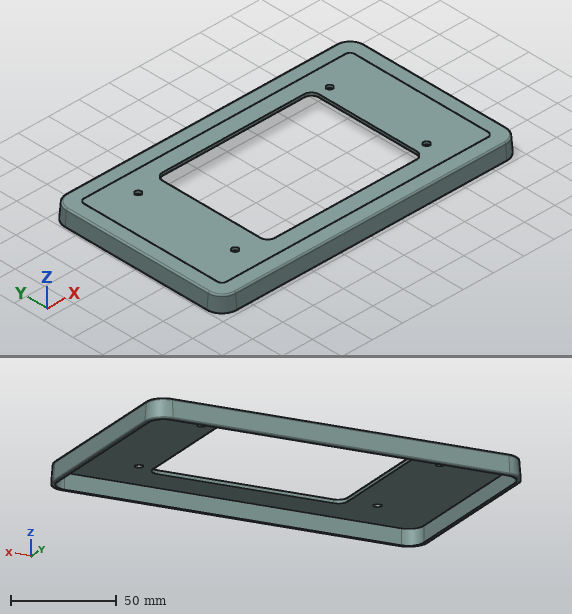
import cadquery as cq

length = 198.0
width = 116.0
height = 10.5
corner_radius = 9.9

lip_height = 0.8
foot_fillet = 0.4
draft_angle = 4.5
top_fillet = 1.0

plate_thickness = 2.0
wall_thickness = plate_thickness

recess_length = 178.5
recess_width = 96.6
recess_radius = 3.0
recess_depth = 0.1

window_length = 103.1
window_width = 76.0
window_radius = 5.0
window_center_x = 2.4

hole_diameter = 4.0
hole_spacing_x = 126.3
hole_spacing_y = 65.7
hole_center_x = -1.4
hole_center_y = 1.0


def rounded_plate(size_x, size_y, radius, bottom, depth):
    """Straight-sided block with rounded vertical edges."""
    block = cq.Workplane("XY").workplane(offset=bottom).rect(size_x, size_y).extrude(depth)
    return block.edges("|Z").fillet(radius)


def outer_body():
    lip = rounded_plate(length, width, corner_radius, 0, lip_height)
    wall = lip.faces(">Z").wires().toPending().extrude(height - lip_height, taper=draft_angle)
    rounded_top = wall.faces(">Z").edges().fillet(top_fillet)
    return rounded_top.faces("<Z").edges().fillet(foot_fillet)


def underside_pocket():
    """Hollow that leaves a plate of even thickness below the recessed panel."""
    pocket_length = length - 2 * wall_thickness
    pocket_width = width - 2 * wall_thickness
    pocket_radius = corner_radius - wall_thickness
    pocket_depth = height - recess_depth - plate_thickness
    return rounded_plate(pocket_length, pocket_width, pocket_radius, 0, pocket_depth)


def panel_recess():
    return rounded_plate(recess_length, recess_width, recess_radius, height - recess_depth, recess_depth)


def window():
    opening = rounded_plate(window_length, window_width, window_radius, 0, height)
    return opening.translate((window_center_x, 0, 0))


def screw_holes():
    return (
        cq.Workplane("XY")
        .center(hole_center_x, hole_center_y)
        .rect(hole_spacing_x, hole_spacing_y, forConstruction=True)
        .vertices()
        .circle(hole_diameter / 2)
        .extrude(height)
    )


result = outer_body().cut(underside_pocket()).cut(panel_recess()).cut(window()).cut(screw_holes())